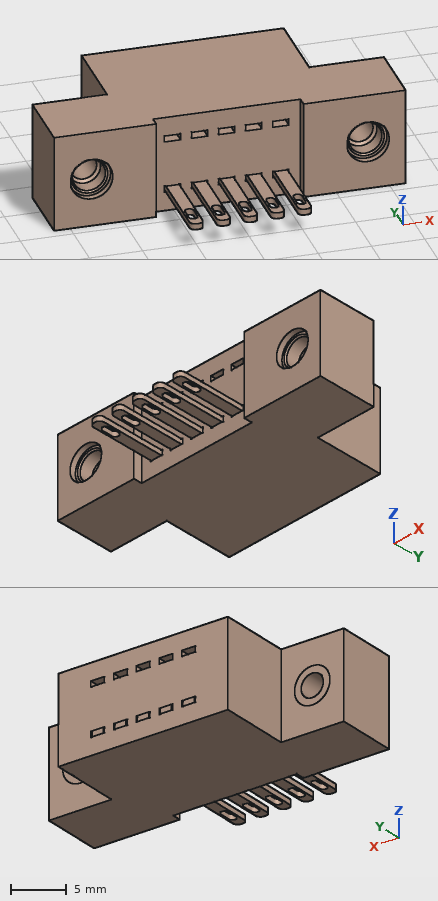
import cadquery as cq


LENGTH = 33.02
HEIGHT = 9.4
DEPTH = 14.93
FLANGE_THICKNESS = 6.87
BODY_LENGTH = 19.0
RECESS_LENGTH = 13.85
RECESS_DEPTH = 1.0

CONTACT_COUNT = 5
PITCH = 2.55
UPPER_ROW_Z = PITCH
LOWER_ROW_Z = -PITCH
SLOT_WIDTH = 1.52
SLOT_HEIGHT = 0.6
CONTACT_XS = [(i - (CONTACT_COUNT - 1) / 2) * PITCH for i in range(CONTACT_COUNT)]

OVERALL_DEPTH = 21.85
TIP_Y = DEPTH - OVERALL_DEPTH
CONTACT_WIDTH = 1.25
TIP_RADIUS = 0.53
EYE_LENGTH = 1.98
EYE_WIDTH = 0.83
EYE_TO_TIP = 2.05

BUSHING_SPACING = 25.95
BUSHING_XS = [-BUSHING_SPACING / 2, BUSHING_SPACING / 2]
BUSHING_RADIUS = 1.98
BUSHING_SETBACK = 0.7
MOUTH_CHAMFER = 0.15
ENTRY_RADIUS = 1.55
ENTRY_END_Y = 2.15
SEAT_RADIUS = 1.52
SEAT_Y = 2.3
BORE_DIAMETER = 2.48
BORE_RADIUS = BORE_DIAMETER / 2


def make_box(x_length, y_start, y_end, z_height, x_center=0.0, z_center=0.0):
    """Box centred in X and Z that spans y_start to y_end."""
    return (
        cq.Workplane("XY")
        .box(x_length, y_end - y_start, z_height, centered=(True, False, True))
        .translate((x_center, y_start, z_center))
    )


def make_housing():
    """Flanged block with a front recess, two rows of slots and two bushing holes."""
    flanges = make_box(LENGTH, 0, FLANGE_THICKNESS, HEIGHT)
    body = make_box(BODY_LENGTH, 0, DEPTH, HEIGHT)
    recess = make_box(RECESS_LENGTH, 0, RECESS_DEPTH, HEIGHT)
    housing = flanges.union(body).cut(recess)

    for x in CONTACT_XS:
        for z in (UPPER_ROW_Z, LOWER_ROW_Z):
            housing = housing.cut(make_box(SLOT_WIDTH, 0, DEPTH, SLOT_HEIGHT, x, z))

    for x in BUSHING_XS:
        hole = cq.Workplane("XZ", origin=(x, 0, 0)).circle(BUSHING_RADIUS).extrude(-FLANGE_THICKNESS)
        housing = housing.cut(hole)
    return housing


def make_contact(x):
    """Flat contact with a rounded tip and a solder eye near the tip."""
    blade = make_box(CONTACT_WIDTH, TIP_Y, DEPTH, SLOT_HEIGHT, x, LOWER_ROW_Z)
    blade = blade.edges("|Z and <Y").fillet(TIP_RADIUS)
    eye = (
        cq.Workplane("XY", origin=(x, TIP_Y + EYE_TO_TIP, LOWER_ROW_Z))
        .slot2D(EYE_LENGTH, EYE_WIDTH, 90)
        .extrude(SLOT_HEIGHT, both=True)
    )
    return blade.cut(eye)


def make_bushing(x):
    """Sleeve turned about Y: chamfered mouth, wide entry, slight taper, 45-degree cone, bore."""
    cone_end_y = SEAT_Y + SEAT_RADIUS - BORE_RADIUS
    profile = [
        (BUSHING_RADIUS, BUSHING_SETBACK),
        (ENTRY_RADIUS + MOUTH_CHAMFER, BUSHING_SETBACK),
        (ENTRY_RADIUS, BUSHING_SETBACK + MOUTH_CHAMFER),
        (ENTRY_RADIUS, ENTRY_END_Y),
        (SEAT_RADIUS, SEAT_Y),
        (BORE_RADIUS, cone_end_y),
        (BORE_RADIUS, FLANGE_THICKNESS),
        (BUSHING_RADIUS, FLANGE_THICKNESS),
    ]
    sleeve = cq.Workplane("XY").polyline(profile).close().revolve(360, (0, 0, 0), (0, 1, 0))
    return sleeve.translate((x, 0, 0))


housing = make_housing()
contacts = [make_contact(x) for x in CONTACT_XS]
bushings = [make_bushing(x) for x in BUSHING_XS]

result = cq.Compound.makeCompound(
    [housing.val()]
    + [contact.val() for contact in contacts]
    + [bushing.val() for bushing in bushings]
)